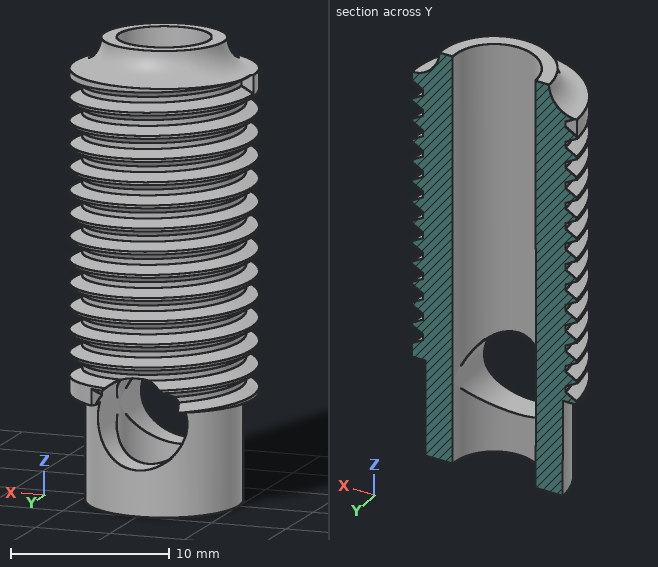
import cadquery as cq
import math

total_height = 30.0
shank_height = 7.0
collar_height = 2.0
shank_radius = 5.0
bore_radius = 3.0

cross_hole_radius = 3.0
cross_hole_z = 6.0

thread_radius = 6.0
pitch = 1.5
thread_length = 20.0
groove_start_z = 7.43
groove_end_angle = 180
flank_angle = math.radians(30)

sharp_v_height = pitch / 2 / math.tan(flank_angle)
root_radius = thread_radius - 5 / 8 * sharp_v_height
crest_overrun = sharp_v_height / 16
root_flat = pitch / 4

groove_start_angle = groove_end_angle - 360 * thread_length / pitch

thread_top = total_height - collar_height
neck_top_radius = thread_radius - collar_height


def make_blank():
    """Turned body: shank, thread cylinder and a quarter-circle concave neck."""
    diagonal = collar_height * math.sqrt(0.5)
    neck_arc_middle = (thread_radius - diagonal, total_height - diagonal)
    outline = (
        cq.Workplane("XZ")
        .moveTo(0, 0)
        .lineTo(shank_radius, 0)
        .lineTo(shank_radius, shank_height)
        .lineTo(thread_radius, shank_height)
        .lineTo(thread_radius, thread_top)
        .threePointArc(neck_arc_middle, (neck_top_radius, total_height))
        .lineTo(0, total_height)
        .close()
    )
    return outline.revolve(360, (0, 0, 0), (0, 1, 0))


def make_thread_groove():
    """Right-handed helical cutter with a trapezoidal section, wide at the outside."""
    outer_radius = thread_radius + crest_overrun
    root_half_width = root_flat / 2
    outer_half_width = root_half_width + (outer_radius - root_radius) * math.tan(flank_angle)
    helix = cq.Workplane(
        cq.Wire.makeHelix(pitch, thread_length, root_radius)
    ).translate((0, 0, groove_start_z))
    section = cq.Workplane("XZ").polyline([
        (root_radius, groove_start_z - root_half_width),
        (outer_radius, groove_start_z - outer_half_width),
        (outer_radius, groove_start_z + outer_half_width),
        (root_radius, groove_start_z + root_half_width),
    ]).close()
    groove = section.sweep(helix, isFrenet=True)
    return groove.rotate((0, 0, 0), (0, 0, 1), groove_start_angle)


def make_bore():
    """Axial through bore."""
    return cq.Workplane("XY").circle(bore_radius).extrude(total_height)


def make_cross_hole():
    """Round hole along Y, through both walls."""
    return (
        cq.Workplane("XZ")
        .center(0, cross_hole_z)
        .circle(cross_hole_radius)
        .extrude(thread_radius, both=True)
    )


result = (
    make_blank()
    .cut(make_thread_groove())
    .cut(make_bore())
    .cut(make_cross_hole())
)